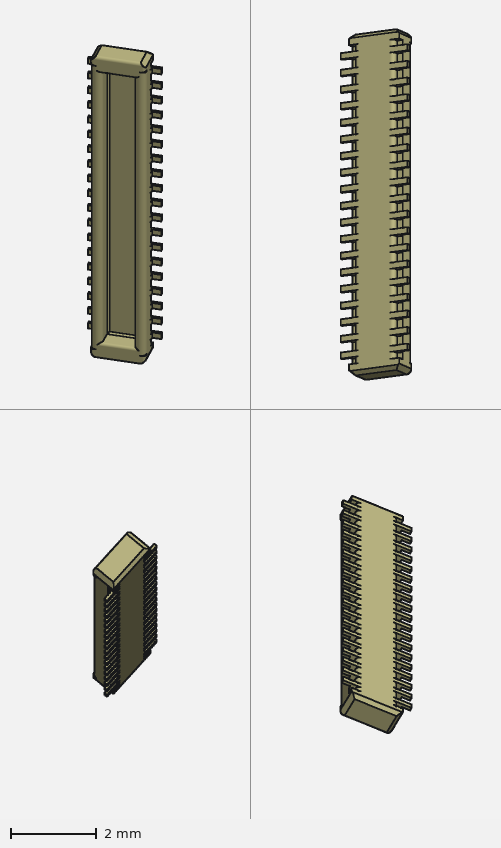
import cadquery as cq
import math

height = 8.2
depth = 0.66
pin_span = 1.78
body_width = 1.34

corner_chamfer = 0.12
back_chamfer = 0.1
front_round = 0.07

rail_width = 0.28
cap_height = 0.43
pocket_depth = 0.5
floor_chamfer = 0.05
cap_rim_round = 0.065
rail_round = rail_width / 2
rail_start = 0.25

pin_count = 19
pin_row_length = 7.2
pin_pitch = pin_row_length / (pin_count - 1)
pin_height = 0.15
pin_thickness = 0.08
recess_start = 0.26
recess_depth = 0.17
recess_width = rail_width / 2
recess_round = 0.1

front_y = -depth / 2
back_y = depth / 2
half_width = body_width / 2
half_height = height / 2
pocket_half_width = half_width - rail_width
pocket_half_height = half_height - cap_height


def box(x_range, y_range, z_range):
    """Box between the given limits on each axis."""
    sizes = [high - low for low, high in (x_range, y_range, z_range)]
    corner = (x_range[0], y_range[0], z_range[0])
    return cq.Workplane("XY").box(*sizes, centered=False).translate(corner)


def make_housing():
    """Block with chamfered corners and back ends and rounded front edges."""
    outline = (
        cq.Workplane("XZ")
        .rect(body_width, height)
        .extrude(depth / 2, both=True)
        .edges("|Y")
        .chamfer(corner_chamfer)
    )
    rounded_sides = (
        cq.Workplane("XY")
        .box(body_width, depth, height)
        .edges("|Z and <Y")
        .fillet(front_round)
    )
    rounded_ends = (
        cq.Workplane("XY")
        .box(body_width, depth, height)
        .edges("|X and <Y")
        .fillet(front_round)
        .edges("|X and >Y")
        .chamfer(back_chamfer)
    )
    return outline.intersect(rounded_sides).intersect(rounded_ends)


def make_pocket():
    """Material removed to open the pocket, including its rounded rim."""
    floor_y = front_y + pocket_depth
    pocket = box(
        (-pocket_half_width, pocket_half_width),
        (front_y, floor_y),
        (-pocket_half_height, pocket_half_height),
    )
    pocket = pocket.faces(">Y").edges().chamfer(floor_chamfer)

    rim_half_width = pocket_half_width + rail_round
    rim_half_height = pocket_half_height + cap_rim_round
    rail_flare = flare(pocket_half_width, rail_round, cq.Workplane("XY"), rim_half_height)
    cap_flare = flare(pocket_half_height, cap_rim_round, cq.Workplane("ZY"), rim_half_width)
    return pocket.union(rail_flare.intersect(cap_flare))


def flare(half_opening, radius, plane, half_length):
    """Bar whose two sides curve outwards to meet the front face tangentially."""
    bend = radius * math.sqrt(0.5)
    wide = half_opening + radius
    bend_x = wide - bend
    base_y = front_y + pocket_depth / 2
    curve_y = front_y + radius
    bend_y = curve_y - bend
    return (
        plane.moveTo(-wide, front_y)
        .lineTo(wide, front_y)
        .threePointArc((bend_x, bend_y), (half_opening, curve_y))
        .lineTo(half_opening, base_y)
        .lineTo(-half_opening, base_y)
        .lineTo(-half_opening, curve_y)
        .threePointArc((-bend_x, bend_y), (-wide, front_y))
        .close()
        .extrude(half_length, both=True)
    )


def make_rail_rounding():
    """Material removed along the outer front edge of the +X rail, between the caps."""
    bend = rail_round * (1 - math.sqrt(0.5))
    return (
        cq.Workplane("XY")
        .moveTo(half_width - rail_round, front_y)
        .lineTo(half_width, front_y)
        .lineTo(half_width, front_y + rail_round)
        .threePointArc((half_width - bend, front_y + bend), (half_width - rail_round, front_y))
        .close()
        .extrude(half_height - rail_start, both=True)
    )


def make_pins_and_recesses():
    """+X row of pins, and the row of recesses left between their backing blocks."""
    recess_half_height = half_height - recess_start
    recess_floor = half_width - recess_width
    recesses = box(
        (recess_floor - recess_round, half_width),
        (back_y - recess_depth, back_y),
        (-recess_half_height, recess_half_height),
    )
    kept_core = box(
        (recess_floor - 2 * recess_round, recess_floor),
        (back_y - 2 * recess_depth, back_y),
        (-half_height, half_height),
    )
    kept_core = kept_core.edges("|Z and >X and >Y").fillet(recess_round)
    recesses = recesses.cut(kept_core)

    pins = cq.Workplane("XY")
    for index in range(pin_count):
        pin_z = (index - (pin_count - 1) / 2) * pin_pitch
        z_range = (pin_z - pin_height / 2, pin_z + pin_height / 2)
        block = box((0, half_width), (back_y - recess_depth, back_y), z_range)
        recesses = recesses.cut(block)
        pins = pins.union(box((recess_floor, pin_span / 2), (back_y - pin_thickness, back_y), z_range))
    return pins, recesses


pins, recesses = make_pins_and_recesses()
rail_rounding = make_rail_rounding()

result = make_housing().cut(make_pocket())
for removed in (rail_rounding, recesses):
    result = result.cut(removed).cut(removed.mirror("YZ"))
result = result.union(pins).union(pins.mirror("YZ"))